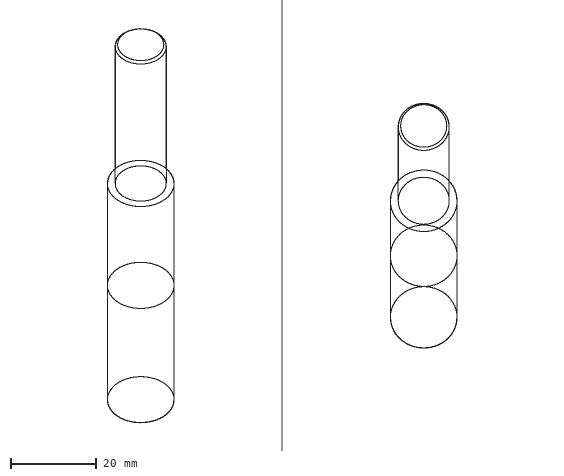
import cadquery as cq

total_length = 115.0
body_diameter = 15.6
shank_diameter = 12.0
base_length = 37.0
shoulder_height = 70.0
tip_chamfer = 0.6


def make_base():
    """Plain cylindrical lower body, standing on the XY plane."""
    return cq.Workplane("XY").circle(body_diameter / 2).extrude(base_length)


def make_stem():
    """Stepped upper body: a full-width collar and a narrower shank with a chamfered tip."""
    collar = (
        cq.Workplane("XY", origin=(0, 0, base_length))
        .circle(body_diameter / 2)
        .extrude(shoulder_height - base_length)
    )
    shank = (
        cq.Workplane("XY", origin=(0, 0, shoulder_height))
        .circle(shank_diameter / 2)
        .extrude(total_length - shoulder_height)
        .faces(">Z")
        .chamfer(tip_chamfer)
    )
    return collar.union(shank)


base = make_base()
stem = make_stem()

result = cq.Compound.makeCompound([base.val(), stem.val()])